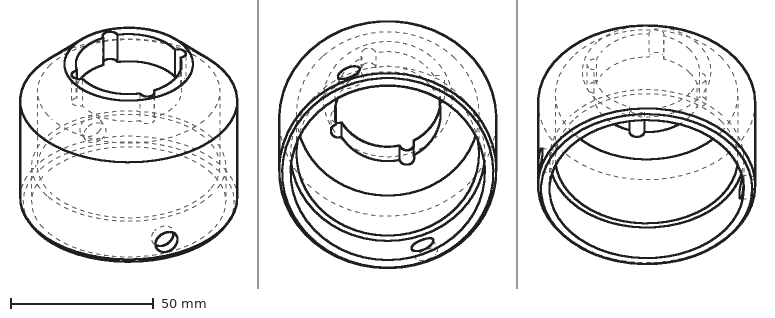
import cadquery as cq

outer_diameter = 76.0
height = 58.5
top_diameter = 45.0
cone_height = 15.5
base_chamfer_height = 1.75
base_chamfer_width = 1.1

bore_diameter = 37.0
collar_depth = 11.55
cavity_diameter = 63.85
recess_diameter = 67.95
recess_depth = 15.2

notch_count = 4
notch_diameter = 5.25

cross_hole_diameter = 8.2
cross_hole_z = 7.45

outer_radius = outer_diameter / 2
bore_radius = bore_diameter / 2


def make_body():
    """Revolve the solid outside shape: chamfered base, cylinder and cone."""
    profile = [
        (0, 0),
        (outer_radius - base_chamfer_width, 0),
        (outer_radius, base_chamfer_height),
        (outer_radius, height - cone_height),
        (top_diameter / 2, height),
        (0, height),
    ]
    return cq.Workplane("XZ").polyline(profile).close().revolve(360, (0, 0), (0, 1))


def make_opening():
    """Through bore with the round notches along its full length."""
    bore = cq.Workplane("XY").circle(bore_radius).extrude(height)
    notches = (
        cq.Workplane("XY")
        .polarArray(bore_radius, 0, 360, notch_count)
        .circle(notch_diameter / 2)
        .extrude(height)
    )
    return bore.union(notches)


def make_cavity():
    """Round cavity up to the underside of the collar, widened near the base."""
    cavity = cq.Workplane("XY").circle(cavity_diameter / 2).extrude(height - collar_depth)
    recess = cq.Workplane("XY").circle(recess_diameter / 2).extrude(recess_depth)
    return cavity.union(recess)


def make_cross_hole():
    """Cylinder along X that pierces both side walls."""
    return (
        cq.Workplane("YZ")
        .center(0, cross_hole_z)
        .circle(cross_hole_diameter / 2)
        .extrude(outer_radius, both=True)
    )


result = make_body().cut(make_opening()).cut(make_cavity()).cut(make_cross_hole())